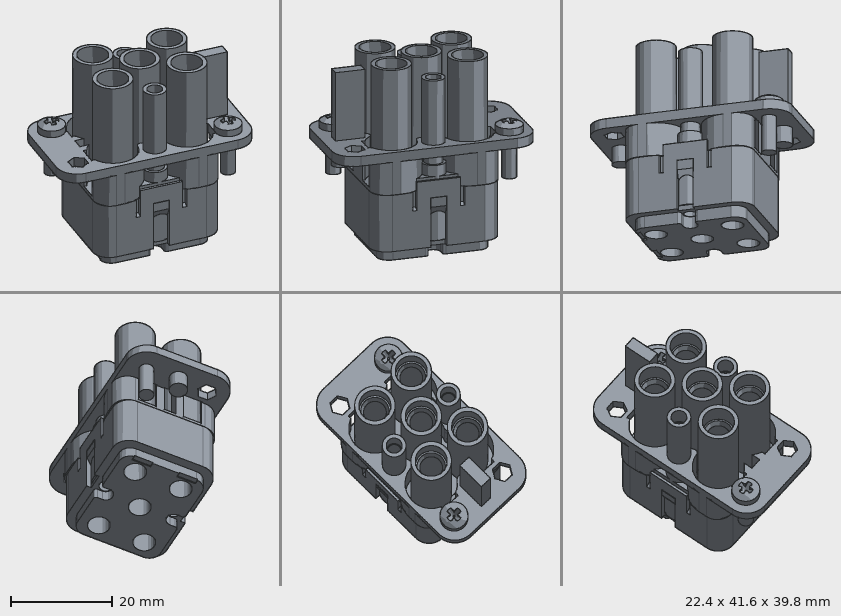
import cadquery as cq
import math

BASE_TOP = 2.45
BODY_TOP = 14.4
WINDOW_SILL = 15.15
PLATE_BOTTOM = 21.33
PLATE_TOP = 23.38
SMALL_TUBE_TOP = 36.9
KEY_TOP = 37.75
TUBE_TOP = 39.8

BASE = (18.4, 23.05, 2.5)
BODY = (21.85, 26.6, 3.65)
FRAME = (22.4, 26.5, 3.5)
PLATE = (22.4, 41.64, 4.5)
PIT = (18.1, 22.0, 2.5)

TUBE_X = 5.03
TUBE_Y = 7.95
TUBE_R = 4.0
TUBE_BORE_R = 3.15
CONTACT_R = 2.8
CONTACT_HOLE_R = 2.25
CONTACT_DEPTH = 4.0
CONTACT_CONE_HEIGHT = 1.0
CORNERS = [(x, y) for x in (-TUBE_X, TUBE_X) for y in (-TUBE_Y, TUBE_Y)]
LARGE_TUBES = CORNERS + [(0, 0)]

SMALL_X = 7.5
SMALL_TUBE_R = 2.35
SMALL_BORE_R = 1.55
SMALL_HOLE_R = 1.35
BOSS_R = 2.54
BOSS_TOP = 19.2
NECK_R = 1.96
SMALL_TUBES = [(-SMALL_X, 0), (SMALL_X, 0)]

CORNER_OPENING_R = 5.15
CENTRE_OPENING_R = 5.05
SIDE_CUSP_FILLET = 0.85
END_CUSP_FILLET = 1.2
WALL = FRAME[0] / 2 - TUBE_X - CORNER_OPENING_R
WINDOW_INNER_X = 2.95
WINDOW_OUTER_X = 7.0
KEYWAY_WIDTH = 2.52
WINDOW_END_Y = 13.4

SIDE_X = BODY[0] / 2
LATCH_HALF_WIDTH = 4.55
LATCH_TOP = 16.45
LATCH_LIP = 0.55
LATCH_GAP_WIDTH = 0.88
LATCH_GAP_FLOOR = 10.5
LATCH_GAP_FLOOR_RISE = 0.45
SHELF_X = 10.0
SHELF_TOP = 16.88
SLOT_WIDTH = 3.36
SLOT_TOP = 12.8
SLOT_RECESS = 0.12
SLOT_SLOPE_TOP = 10.8
SLOT_SLOPE_RATIO = 2.2
SLOT_BACK_X = 9.9
SOCKET_R = 4.1
SOCKET_FRONT_X = 10.3
SLOT_LEDGE_TOP = 3.46

BASE_NOTCH_R = 1.5
BASE_NOTCH_FILLET = 0.58
FOOT_NOTCH_HEIGHT = 0.3
FOOT_NOTCH_DEPTH = 1.0

FIXING_X = 6.7
FIXING_Y = 16.1
HEX_SIDES = 6
HEX_ACROSS_FLATS = 3.5
HEAD_R = 2.78
HEAD_RIM_Z = 24.85
HEAD_DOME_HEIGHT = 0.95
SHANK_R = 1.5
SHANK_BOTTOM = 13.82
CROSS_LENGTH = 3.0
CROSS_WIDTH = 1.0
CROSS_DEPTH = 1.7
CROSS_MOUTH_R = 1.72
CROSS_TIP_R = 0.2
STUD_Y = 16.87
STUD_R = 1.83
STUD_BOTTOM = 17.86
KEY_WIDTH = 2.52
KEY_START_Y = 12.18
KEY_END_Y = 18.27


def block(x0, x1, y0, y1, z0, z1):
    return cq.Workplane("XY").box(x1 - x0, y1 - y0, z1 - z0, centered=False).translate((x0, y0, z0))


def rounded_block(outline, z0, z1):
    length, width, radius = outline
    return block(-length / 2, length / 2, -width / 2, width / 2, z0, z1).edges("|Z").fillet(radius)


def posts(centres, radius, z0, z1):
    return cq.Workplane("XY", origin=(0, 0, z0)).pushPoints(centres).circle(radius).extrude(z1 - z0)


def both_sides(shape):
    """The shape together with its mirror image across X = 0."""
    return shape.union(shape.mirror("YZ"))


def lobes(corner_radius, centre_radius, z0, z1):
    """Circles around the five large tubes, joined through the middle."""
    shape = block(-TUBE_X / 2, TUBE_X / 2, -TUBE_Y, TUBE_Y, z0, z1)
    shape = shape.union(posts([(0, 0)], centre_radius, z0, z1))
    for corner in CORNERS:
        shape = shape.union(posts([corner], corner_radius, z0, z1))
    return shape


def opening(z0, z1):
    """Clearance around the five large tubes, with its inward cusps rounded."""
    shape = lobes(CORNER_OPENING_R, CENTRE_OPENING_R, z0, z1)
    far_y = TUBE_Y + CORNER_OPENING_R
    end_cusps = cq.selectors.BoxSelector((-WALL, -far_y, z0), (WALL, far_y, z1))
    side_cusps = cq.selectors.BoxSelector((-TUBE_X, -TUBE_Y, z0), (TUBE_X, TUBE_Y, z1))
    shape = shape.edges("|Z").edges(side_cusps).fillet(SIDE_CUSP_FILLET)
    return shape.edges("|Z").edges(end_cusps).fillet(END_CUSP_FILLET)


def windows(z0, z1):
    """Slots in the end walls: one beside each corner tube and a keyway at the -Y end."""
    keyway = block(-KEYWAY_WIDTH / 2, KEYWAY_WIDTH / 2, -WINDOW_END_Y, -TUBE_Y, z0, z1)
    side = block(WINDOW_INNER_X, WINDOW_OUTER_X, -WINDOW_END_Y, -TUBE_Y, z0, z1)
    pair = both_sides(side)
    return keyway.union(pair).union(pair.mirror("XZ"))


def make_frame():
    """Wall between body and plate that follows the tubes on the X sides."""
    height = (BODY_TOP, PLATE_BOTTOM)
    middle = block(-FRAME[0], FRAME[0], -TUBE_Y, TUBE_Y, *height)
    wall = lobes(CORNER_OPENING_R + WALL, CENTRE_OPENING_R + WALL, *height)
    outline = rounded_block(FRAME, *height)
    outer = outline.cut(middle).union(wall.intersect(outline))
    cavity = opening(WINDOW_SILL, PLATE_BOTTOM).union(windows(WINDOW_SILL, PLATE_BOTTOM))
    return outer.cut(cavity).cut(pit())


def pit():
    """Shallow rectangular recess in the floor around the tubes."""
    height = (BODY_TOP, WINDOW_SILL)
    floor = opening(*height).union(windows(*height))
    return rounded_block(PIT, *height).intersect(floor)


def make_plate():
    """Mounting plate with its hexagonal holes, coding key and studs."""
    height = (PLATE_BOTTOM, PLATE_TOP)
    plate = rounded_block(PLATE, *height).cut(opening(*height)).cut(windows(*height))
    hex_diameter = HEX_ACROSS_FLATS / math.cos(math.pi / HEX_SIDES)
    hexes = (
        cq.Workplane("XY", origin=(0, 0, PLATE_BOTTOM))
        .pushPoints([(-FIXING_X, FIXING_Y), (FIXING_X, -FIXING_Y)])
        .polygon(HEX_SIDES, hex_diameter)
        .extrude(PLATE_TOP - PLATE_BOTTOM)
    )
    key = block(-KEY_WIDTH / 2, KEY_WIDTH / 2, KEY_START_Y, KEY_END_Y, PLATE_BOTTOM, KEY_TOP)
    studs = posts([(0, -STUD_Y), (0, STUD_Y)], STUD_R, STUD_BOTTOM, PLATE_TOP)
    return plate.cut(hexes).union(key).union(studs)


def make_screw(x, y):
    """Domed cross-head screw with a plain shank."""
    dome_top = HEAD_RIM_Z + HEAD_DOME_HEIGHT
    dome_r = (HEAD_R**2 + HEAD_DOME_HEIGHT**2) / (2 * HEAD_DOME_HEIGHT)
    half_angle = math.asin(HEAD_R / dome_r) / 2
    dome_middle = (dome_r * math.sin(half_angle), dome_top - dome_r * (1 - math.cos(half_angle)))
    screw = (
        cq.Workplane("XZ")
        .moveTo(0, SHANK_BOTTOM)
        .lineTo(SHANK_R, SHANK_BOTTOM)
        .lineTo(SHANK_R, PLATE_TOP)
        .lineTo(HEAD_R, PLATE_TOP)
        .lineTo(HEAD_R, HEAD_RIM_Z)
        .threePointArc(dome_middle, (0, dome_top))
        .close()
        .revolve(360, (0, 0), (0, 1))
    )
    arm = cq.Workplane("XY", origin=(0, 0, dome_top - CROSS_DEPTH)).rect(CROSS_LENGTH, CROSS_WIDTH)
    arm = arm.extrude(CROSS_DEPTH)
    cross = arm.union(arm.rotate((0, 0, 0), (0, 0, 1), 90))
    tip = cq.Vector(0, 0, dome_top - CROSS_DEPTH)
    driver = cq.Solid.makeCone(CROSS_TIP_R, CROSS_MOUTH_R, CROSS_DEPTH, tip)
    screw = screw.cut(cross.intersect(cq.Workplane(driver)))
    return screw.translate((x, y, 0))


def make_base():
    """Foot of the part, notched at the small contacts and along its -Y edge."""
    base = rounded_block(BASE, 0, BASE_TOP)
    mouth = block(-BASE[0] / 2, -SMALL_X, -BASE_NOTCH_R, BASE_NOTCH_R, 0, BASE_TOP)
    notch = both_sides(mouth.union(posts([(-SMALL_X, 0)], BASE_NOTCH_R, 0, BASE_TOP)))
    reach = 2 * BASE_NOTCH_R
    near_mouth = cq.selectors.BoxSelector((-BASE[0], -reach, 0), (BASE[0], reach, BASE_TOP))
    base = base.cut(notch)
    base = base.edges("|Z").edges(near_mouth).edges("<X or >X").fillet(BASE_NOTCH_FILLET)
    foot_y = BASE[1] / 2
    foot = both_sides(
        block(WINDOW_INNER_X, WINDOW_OUTER_X, -foot_y, FOOT_NOTCH_DEPTH - foot_y, 0, FOOT_NOTCH_HEIGHT)
    )
    return base.cut(foot)


def latch_shelf():
    """Solid behind the latch, up to the shelf that carries the small boss."""
    outline = rounded_block(FRAME, BODY_TOP, SHELF_TOP)
    reach = LATCH_HALF_WIDTH + LATCH_GAP_WIDTH
    shelf = block(-SHELF_X, -TUBE_X, -reach, reach, BODY_TOP, SHELF_TOP).intersect(outline)
    return both_sides(shelf.cut(lobes(CORNER_OPENING_R, CENTRE_OPENING_R, BODY_TOP, SHELF_TOP)))


def latch_clearance():
    """Pocket in the side wall that the latch stands in, leaving a gap along both its edges."""
    reach = LATCH_HALF_WIDTH + LATCH_GAP_WIDTH
    profile = [
        (-SIDE_X, LATCH_GAP_FLOOR),
        (-SHELF_X, LATCH_GAP_FLOOR + LATCH_GAP_FLOOR_RISE),
        (-SHELF_X, BODY_TOP),
        (-SIDE_X, BODY_TOP),
    ]
    gap = cq.Workplane("XZ").polyline(profile).close().extrude(reach, both=True)
    return both_sides(gap)


def latch():
    """Tongue between the two gaps, with a thin upright lip in front of the shelf."""
    span = (-LATCH_HALF_WIDTH, LATCH_HALF_WIDTH)
    tongue = block(-SIDE_X, -SHELF_X, *span, LATCH_GAP_FLOOR, BODY_TOP)
    lip = block(-SIDE_X, LATCH_LIP - SIDE_X, *span, BODY_TOP, LATCH_TOP)
    return both_sides(tongue.union(lip))


def latch_slot():
    """Slot below the latch that exposes the round socket of the small contact."""
    recess_x = SLOT_RECESS - SIDE_X
    slope_bottom = SLOT_SLOPE_TOP - SLOT_SLOPE_RATIO * (-SLOT_BACK_X - recess_x)
    profile = [
        (-SIDE_X, BASE_TOP),
        (-SLOT_BACK_X, BASE_TOP),
        (-SLOT_BACK_X, slope_bottom),
        (recess_x, SLOT_SLOPE_TOP),
        (recess_x, SLOT_TOP),
        (-SIDE_X, SLOT_TOP),
    ]
    slot = cq.Workplane("XZ").polyline(profile).close().extrude(SLOT_WIDTH / 2, both=True)
    socket = posts([(SOCKET_R - SOCKET_FRONT_X, 0)], SOCKET_R, SLOT_LEDGE_TOP, SLOT_TOP)
    recess = block(-SIDE_X, recess_x, -SLOT_WIDTH / 2, SLOT_WIDTH / 2, BASE_TOP, SLOT_TOP)
    return both_sides(slot.cut(socket).union(recess))


def large_bores():
    """Socket of each large tube, with the tapered mouth and through hole of its contact."""
    mouth_z = TUBE_TOP - CONTACT_DEPTH
    sockets = posts(LARGE_TUBES, TUBE_BORE_R, mouth_z, TUBE_TOP)
    holes = posts(LARGE_TUBES, CONTACT_HOLE_R, 0, TUBE_TOP)
    bores = sockets.union(holes)
    for x, y in LARGE_TUBES:
        mouth = cq.Solid.makeCone(
            CONTACT_R, CONTACT_HOLE_R, CONTACT_CONE_HEIGHT, cq.Vector(x, y, mouth_z), cq.Vector(0, 0, -1)
        )
        bores = bores.union(cq.Workplane(mouth))
    return bores


def small_bores():
    """Socket and through hole of each small contact."""
    sockets = posts(SMALL_TUBES, SMALL_BORE_R, SMALL_TUBE_TOP - CONTACT_DEPTH, SMALL_TUBE_TOP)
    return sockets.union(posts(SMALL_TUBES, SMALL_HOLE_R, 0, SMALL_TUBE_TOP))


def build():
    part = rounded_block(BODY, BASE_TOP, BODY_TOP).union(make_base())
    part = part.cut(latch_clearance()).union(latch()).cut(latch_slot())
    part = part.union(make_frame()).union(latch_shelf())
    part = part.union(make_plate())
    part = part.union(posts(LARGE_TUBES, TUBE_R, BODY_TOP, TUBE_TOP))
    part = part.union(posts(SMALL_TUBES, BOSS_R, BODY_TOP, BOSS_TOP).cut(opening(BODY_TOP, BOSS_TOP)))
    part = part.union(posts(SMALL_TUBES, NECK_R, BOSS_TOP, PLATE_BOTTOM))
    part = part.union(posts(SMALL_TUBES, SMALL_TUBE_R, PLATE_TOP, SMALL_TUBE_TOP))
    for x, y in ((FIXING_X, FIXING_Y), (-FIXING_X, -FIXING_Y)):
        part = part.union(make_screw(x, y))
    part = part.cut(large_bores()).cut(small_bores())
    return part


result = build()